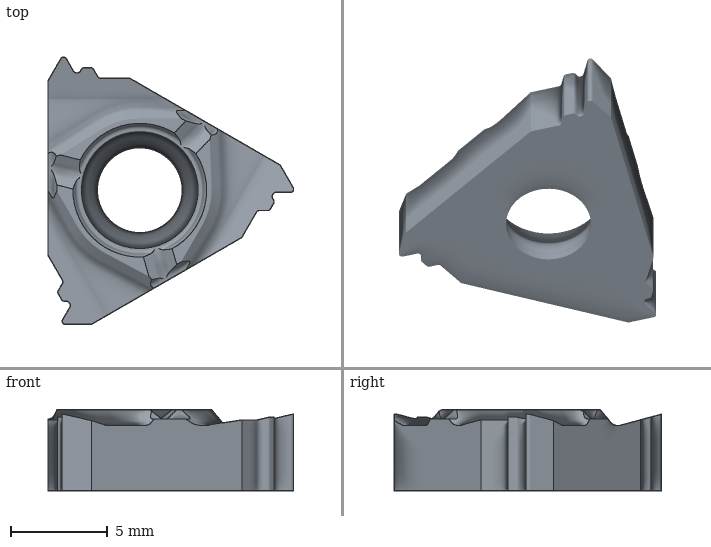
import cadquery as cq
import math

CORNER_ANGLES = (0, 120, 240)
STEEP = math.tan(math.radians(60))

top_height = 4.2
seat_height = 3.71
land_height = 3.38

side_distance = 4.77
rake_start = 4.71
rake_angle = 15
rake_blend_radius = 0.32
reach = 9.7
selection_margin = 0.01

tip_apex_x = -3.95
tip_apex_y = 7.07
tip_radius = 0.17
root_y = 6.08
root_width = 0.25
crest_y = 6.35
crest_width = 0.54
shoulder_y = 5.81
tooth_radius = 0.17

boss_distance = 3.73
boss_turn = 32
blunt_angle = 90 + (boss_turn + 120) / 2
boss_taper = 40
boss_base_radius = 0.42
boss_rim_radius = 0.04

bore_radius = 4.4 / 2
recess_radius = 3.46
recess_taper = 22
recess_corner_radius = 0.22
seat_radius = 3.02
seat_edge_radius = 0.07
seat_bottom_height = 2.77
bulge_top_radius = 2.85
bulge_top_height = 2.43
bulge_bottom_height = 0.87

groove_wall_angle = 38
groove_half_width = 0.78
groove_blend_radius = 0.33
ledge_depth = 0.28
ledge_start = -0.55
ledge_end = 2.01
ledge_wall_tilt = 22
ledge_floor_radius = 0.2
ledge_corner_radius = 0.21


def rotated(point, degrees):
    """Turn a plan point about the hole axis."""
    turn = math.radians(degrees)
    x, y = point
    return (x * math.cos(turn) - y * math.sin(turn), x * math.sin(turn) + y * math.cos(turn))


def rounded_polygon(corners):
    """Closed outline through (x, y, radius) corners, each rounded by its radius."""
    outline = None
    for i, (x, y, radius) in enumerate(corners):
        corner = cq.Vector(x, y)
        back = (cq.Vector(*corners[i - 1][:2]) - corner).normalized()
        ahead = (cq.Vector(*corners[(i + 1) % len(corners)][:2]) - corner).normalized()
        half_angle = back.getAngle(ahead) / 2
        trim = radius / math.tan(half_angle)
        gap = radius / math.sin(half_angle) - radius
        start = corner + back * trim
        middle = corner + (back + ahead).normalized() * gap
        end = corner + ahead * trim
        if outline is None:
            outline = cq.Workplane("XY").moveTo(start.x, start.y)
        else:
            outline = outline.lineTo(start.x, start.y)
        if radius > 0:
            outline = outline.threePointArc((middle.x, middle.y), (end.x, end.y))
    return outline.close()


def corner_outline():
    """Clockwise corners of the thread form on the corner that points along +Y."""
    flank_start_y = tip_apex_y - (tip_apex_x + side_distance) * STEEP
    root_left = tip_apex_x + (tip_apex_y - root_y) / STEEP
    root_right = root_left + root_width
    crest_left = root_right + (crest_y - root_y) / STEEP
    crest_right = crest_left + crest_width
    shoulder_left = crest_right + (crest_y - shoulder_y) / STEEP
    shoulder_right = 2 * side_distance - shoulder_y * STEEP
    return [
        (-side_distance, flank_start_y, 0),
        (tip_apex_x, tip_apex_y, tip_radius),
        (root_left, root_y, tooth_radius),
        (root_right, root_y, tooth_radius),
        (crest_left, crest_y, tooth_radius),
        (crest_right, crest_y, tooth_radius),
        (shoulder_left, shoulder_y, tooth_radius),
        (shoulder_right, shoulder_y, 0),
    ]


def outline_prism():
    """Full-height prism of the insert outline."""
    corners = []
    for angle in CORNER_ANGLES:
        for x, y, radius in corner_outline():
            corners.append((*rotated((x, y), -angle), radius))
    return rounded_polygon(corners).extrude(top_height)


def boss_outline(distance):
    """Three pairs of straight sides; an arc about the hole axis joins each pair."""
    blunt_reach = distance / math.cos(math.radians((120 - boss_turn) / 2))
    outline = cq.Workplane("XY").moveTo(*rotated((blunt_reach, 0), blunt_angle - 120))
    for angle in CORNER_ANGLES:
        outline = (
            outline.lineTo(*rotated((distance, 0), angle + 90))
            .threePointArc(
                rotated((distance, 0), angle + 90 + boss_turn / 2),
                rotated((distance, 0), angle + 90 + boss_turn),
            )
            .lineTo(*rotated((blunt_reach, 0), angle + blunt_angle))
        )
    return outline.close()


def boss_on_land():
    """Flat land with the tapered boss rising from it, blended at the base and rim."""
    rise = top_height - land_height
    base_distance = boss_distance + rise * math.tan(math.radians(boss_taper))
    boss = boss_outline(base_distance).extrude(rise, taper=boss_taper)
    boss = boss.translate((0, 0, land_height))
    land = cq.Workplane("XY").circle(reach).extrude(land_height)
    land_edges = cq.selectors.BoxSelector(
        (-reach, -reach, land_height - selection_margin),
        (reach, reach, land_height + selection_margin),
    )
    land_rim = cq.selectors.RadiusNthSelector(-1)
    body = land.union(boss)
    body = body.edges(land_edges - land_rim).fillet(boss_base_radius)
    return body.faces(">Z").edges().fillet(boss_rim_radius)


def corner_ramp():
    """Rising rake face of the +Y corner, with a curved start at the crease."""
    rake = math.radians(rake_angle)
    blend = rake_blend_radius * math.tan(rake / 2)
    run = reach - rake_start
    return (
        cq.Workplane("YZ")
        .moveTo(rake_start - blend, land_height)
        .threePointArc(
            (
                rake_start - blend + rake_blend_radius * math.sin(rake / 2),
                land_height + rake_blend_radius * (1 - math.cos(rake / 2)),
            ),
            (rake_start + blend * math.cos(rake), land_height + blend * math.sin(rake)),
        )
        .lineTo(reach, land_height + run * math.tan(rake))
        .lineTo(reach, 0)
        .lineTo(rake_start - blend, 0)
        .close()
        .extrude(reach, both=True)
    )


def screw_hole():
    """Tapered recess, flat seat ring, counterbore and bulged entry to the bore."""
    recess_depth = top_height - seat_height
    recess = (
        cq.Workplane("XY", origin=(0, 0, top_height))
        .circle(recess_radius)
        .extrude(-recess_depth, taper=recess_taper)
        .faces("<Z")
        .edges()
        .fillet(recess_corner_radius)
    )
    step = bulge_top_radius - bore_radius
    drop = bulge_top_height - bulge_bottom_height
    bulge_radius = (step**2 + drop**2) / (2 * step)
    half_sweep = math.atan2(step, drop)
    bulge_middle = (
        bore_radius + bulge_radius * (1 - math.cos(half_sweep)),
        bulge_bottom_height + bulge_radius * math.sin(half_sweep),
    )
    cove_step = seat_radius - bulge_top_radius
    cove_drop = seat_bottom_height - bulge_top_height
    cove_radius = (cove_step**2 + cove_drop**2) / (2 * cove_step)
    cove_half_sweep = math.atan2(cove_step, cove_drop)
    cove_middle = (
        seat_radius - cove_radius * (1 - math.cos(cove_half_sweep)),
        seat_bottom_height - cove_radius * math.sin(cove_half_sweep),
    )
    diagonal = seat_edge_radius * (1 - math.sqrt(0.5))
    bore = (
        cq.Workplane("XZ")
        .lineTo(bore_radius, 0)
        .lineTo(bore_radius, bulge_bottom_height)
        .threePointArc(bulge_middle, (bulge_top_radius, bulge_top_height))
        .threePointArc(cove_middle, (seat_radius, seat_bottom_height))
        .lineTo(seat_radius, seat_height - seat_edge_radius)
        .threePointArc(
            (seat_radius + diagonal, seat_height - diagonal),
            (seat_radius + seat_edge_radius, seat_height),
        )
        .lineTo(0, seat_height)
        .close()
        .revolve(360, (0, 0, 0), (0, 1, 0))
    )
    return recess.union(bore)


def radial_groove():
    """V groove with a narrow blended floor, running along +X out of the hole."""
    wall_angle = math.radians(groove_wall_angle)
    bottom = groove_half_width - (top_height - seat_height) / math.tan(wall_angle)
    profile = [
        (-bottom, seat_height),
        (bottom, seat_height),
        (groove_half_width, top_height),
        (-groove_half_width, top_height),
    ]
    return (
        cq.Workplane("YZ", origin=(seat_radius, 0, 0))
        .polyline(profile)
        .close()
        .extrude(reach - seat_radius)
        .edges("|X and <Z")
        .fillet(groove_blend_radius)
    )


def edge_ledge():
    """Shallow step along the -X side, with tilted walls and rounded inner corners."""
    ledge_middle = (ledge_start + ledge_end) / 2
    return (
        cq.Workplane("XY", origin=(-side_distance, ledge_middle, seat_height))
        .sketch()
        .rect(2 * ledge_depth, ledge_end - ledge_start)
        .vertices()
        .fillet(ledge_corner_radius)
        .finalize()
        .extrude(top_height - seat_height, taper=-ledge_wall_tilt)
        .faces("<Z")
        .edges()
        .fillet(ledge_floor_radius)
    )


def make_insert():
    """Boss, three corners and three grooves on the triangular body."""
    body = boss_on_land()
    for angle in CORNER_ANGLES:
        body = body.union(corner_ramp().rotate((0, 0, 0), (0, 0, 1), angle))
    body = body.intersect(outline_prism()).cut(screw_hole())
    for angle in CORNER_ANGLES:
        body = body.cut(radial_groove().rotate((0, 0, 0), (0, 0, 1), angle + blunt_angle))
        body = body.cut(edge_ledge().rotate((0, 0, 0), (0, 0, 1), angle))
    return body


result = make_insert().solids()